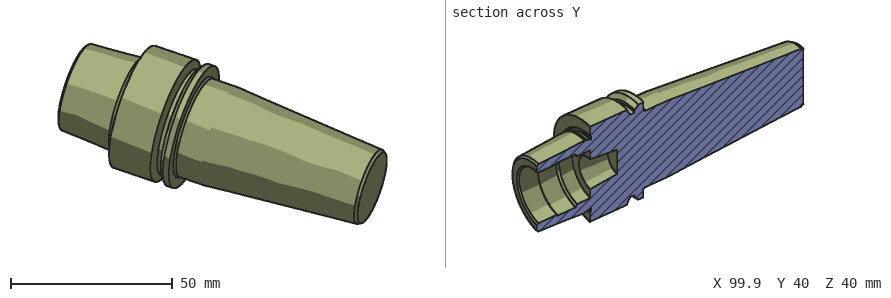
import cadquery as cq

total_length = 99.9
shank_chamfer_end = 0.6
shank_taper_end = 17.8
relief_step_start = 18.4
relief_start = 18.7
relief_end = 19.6
flange_start = 19.9
face_recess_end = 20.4
groove_start = 33.8
groove_floor_start = 35.0
groove_floor_end = 36.6
groove_end = 38.0
flange_end = 40.0
neck_start = 40.8
neck_end = 49.1
nose_chamfer = 1.0

shank_face_radius = 13.5
shank_small_radius = 14.2
shank_large_radius = 15.3
relief_step_radius = 15.0
relief_radius = 14.9
undercut_radius = 14.4
undercut_outer_radius = 15.4
face_recess_radius = 15.9
flange_radius = 20.0
groove_radius = 17.4
groove_wall_radius = 18.4
neck_radius = 16.1
neck_flare_radius = 16.5
nose_radius = 12.2
nose_face_radius = 11.6

mouth_radius = 11.0
mouth_chamfer_depth = 0.6
lip_radius = 10.5
lip_end = 7.6
recess_radius = 11.0
recess_end = 14.5
seat_radius = 9.9
seat_chamfer_end = 15.1
seat_floor = 20.0
pilot_radius = 6.2
pilot_floor_radius = 5.0
pilot_depth = 10.0


def revolve_about_x(profile):
    """Solid of revolution from (x, radius) points, closed along the X axis."""
    points = [(profile[0][0], 0), *profile, (profile[-1][0], 0)]
    return cq.Workplane("XY").polyline(points).close().revolve(360, (0, 0, 0), (1, 0, 0))


shank = [
    (0, shank_face_radius),
    (shank_chamfer_end, shank_small_radius),
    (shank_taper_end, shank_large_radius),
    (relief_step_start, relief_step_radius),
    (relief_start, relief_radius),
    (relief_end, relief_radius),
    (face_recess_end, undercut_radius),
    (face_recess_end, undercut_outer_radius),
    (flange_start, face_recess_radius),
]
flange = [
    (flange_start, flange_radius),
    (groove_start, flange_radius),
    (groove_floor_start, groove_radius),
    (groove_floor_end, groove_radius),
    (groove_floor_end, groove_wall_radius),
    (groove_end, flange_radius),
    (flange_end, flange_radius),
]
nose = [
    (flange_end, neck_flare_radius),
    (neck_start, neck_radius),
    (neck_end, neck_radius),
    (total_length - nose_chamfer, nose_radius),
    (total_length, nose_face_radius),
]
bore = [
    (0, mouth_radius),
    (mouth_chamfer_depth, lip_radius),
    (lip_end, lip_radius),
    (lip_end, recess_radius),
    (recess_end, recess_radius),
    (seat_chamfer_end, seat_radius),
    (seat_floor, seat_radius),
    (seat_floor, pilot_radius),
    (seat_floor + pilot_depth, pilot_floor_radius),
]

body = revolve_about_x(shank + flange + nose)
result = body.cut(revolve_about_x(bore))